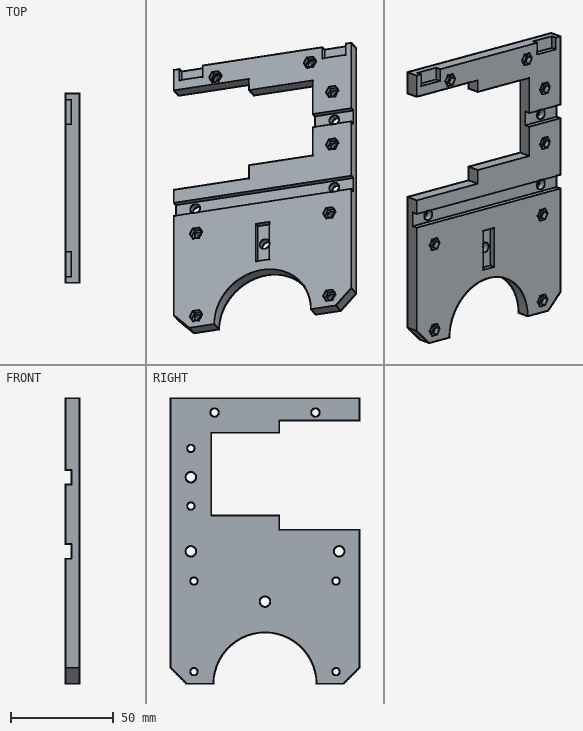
import cadquery as cq
import math

THICKNESS = 7.0
WIDTH = 92.0
HEIGHT = 138.84
HALF_WIDTH = WIDTH / 2
CORNER_CHAMFER = 8.0
ARCH_RADIUS = 25.0

WINDOW_STEP_Y = 7.0
WINDOW_INNER_Y = -26.0
WINDOW_INNER_HEIGHT = 40.0
WINDOW_LOWER_STEP = 7.0
WINDOW_INNER_BOTTOM = 81.92
WINDOW_INNER_TOP = WINDOW_INNER_BOTTOM + WINDOW_INNER_HEIGHT
WINDOW_OUTER_BOTTOM = WINDOW_INNER_BOTTOM - WINDOW_LOWER_STEP
WINDOW_UPPER_STEP = 6.0
WINDOW_OUTER_TOP = WINDOW_INNER_TOP + WINDOW_UPPER_STEP

RECESS_DEPTH = 3.0
GROOVE_WIDTH = 7.0
GROOVE_SPACING = 36.0
WALL_ABOVE_LOWER_GROOVE = 7.0
LOWER_GROOVE_Z = WINDOW_OUTER_BOTTOM - WALL_ABOVE_LOWER_GROOVE - GROOVE_WIDTH / 2
UPPER_GROOVE_Z = LOWER_GROOVE_Z + GROOVE_SPACING
SLOT_LENGTH = 20.0
SLOT_Z = 40.0
TOP_POCKET_WIDTH = 12.0
TOP_POCKET_HEIGHT = 6.0
TOP_POCKET_MARGIN = 3.0

BOLT_DIAMETER = 5.0
BOLT_Y = 36.0

SCREW_DIAMETER = 3.5
TOP_SCREW_DIAMETER = 4.0
NUT_ACROSS_FLATS = 5.5
NUT_ACROSS_CORNERS = NUT_ACROSS_FLATS / math.cos(math.pi / 6)
NUT_DEPTH = 3.0
TOP_SCREW_Y = 24.5
TOP_SCREW_Z = HEIGHT - 7.0
SIDE_SCREW_OFFSET = 14.0
BASE_SCREW_Y = 34.5
BASE_SCREW_LOW_Z = 6.0
BASE_SCREW_SPACING = 44.0


def make_plate():
    """Plate outline with chamfered lower corners, bottom arch and side window."""
    return (
        cq.Workplane("YZ")
        .moveTo(-ARCH_RADIUS, 0)
        .threePointArc((0, ARCH_RADIUS), (ARCH_RADIUS, 0))
        .lineTo(HALF_WIDTH - CORNER_CHAMFER, 0)
        .lineTo(HALF_WIDTH, CORNER_CHAMFER)
        .lineTo(HALF_WIDTH, WINDOW_OUTER_BOTTOM)
        .lineTo(WINDOW_STEP_Y, WINDOW_OUTER_BOTTOM)
        .lineTo(WINDOW_STEP_Y, WINDOW_INNER_BOTTOM)
        .lineTo(WINDOW_INNER_Y, WINDOW_INNER_BOTTOM)
        .lineTo(WINDOW_INNER_Y, WINDOW_INNER_TOP)
        .lineTo(WINDOW_STEP_Y, WINDOW_INNER_TOP)
        .lineTo(WINDOW_STEP_Y, WINDOW_OUTER_TOP)
        .lineTo(HALF_WIDTH, WINDOW_OUTER_TOP)
        .lineTo(HALF_WIDTH, HEIGHT)
        .lineTo(-HALF_WIDTH, HEIGHT)
        .lineTo(-HALF_WIDTH, CORNER_CHAMFER)
        .lineTo(-HALF_WIDTH + CORNER_CHAMFER, 0)
        .close()
        .extrude(THICKNESS)
    )


def face_recess(y, z, width, height):
    """Rectangular cutter centred at (y, z), sunk into the X = 0 face."""
    return cq.Workplane("YZ").center(y, z).rect(width, height).extrude(RECESS_DEPTH)


def through_hole(y, z, diameter):
    """Cylindrical cutter through the whole thickness."""
    return cq.Workplane("YZ").center(y, z).circle(diameter / 2).extrude(THICKNESS)


def nut_hole(y, z, diameter):
    """Through hole with a hexagonal nut pocket in the X = 0 face."""
    pocket = cq.Workplane("YZ").center(y, z).polygon(6, NUT_ACROSS_CORNERS).extrude(NUT_DEPTH)
    return through_hole(y, z, diameter).union(pocket)


def cut_recesses(plate):
    """Cut the two grooves, the central slot and the two pockets in the top edge."""
    for groove_z in (LOWER_GROOVE_Z, UPPER_GROOVE_Z):
        plate = plate.cut(face_recess(0, groove_z, WIDTH, GROOVE_WIDTH))
    plate = plate.cut(face_recess(0, SLOT_Z, GROOVE_WIDTH, SLOT_LENGTH))
    pocket_y = HALF_WIDTH - TOP_POCKET_MARGIN - TOP_POCKET_WIDTH / 2
    pocket_z = HEIGHT - TOP_POCKET_HEIGHT / 2
    for side in (-1, 1):
        plate = plate.cut(face_recess(side * pocket_y, pocket_z, TOP_POCKET_WIDTH, TOP_POCKET_HEIGHT))
    return plate


def cut_bolt_holes(plate):
    """Drill the plain holes on the groove and slot centre lines."""
    centres = [
        (0, SLOT_Z),
        (-BOLT_Y, LOWER_GROOVE_Z),
        (BOLT_Y, LOWER_GROOVE_Z),
        (-BOLT_Y, UPPER_GROOVE_Z),
    ]
    for y, z in centres:
        plate = plate.cut(through_hole(y, z, BOLT_DIAMETER))
    return plate


def cut_nut_holes(plate):
    """Cut the screw holes with nut pockets on the top arm, beside the window and on the base."""
    for side in (-1, 1):
        plate = plate.cut(nut_hole(side * TOP_SCREW_Y, TOP_SCREW_Z, TOP_SCREW_DIAMETER))
        side_z = UPPER_GROOVE_Z + side * SIDE_SCREW_OFFSET
        plate = plate.cut(nut_hole(-BOLT_Y, side_z, SCREW_DIAMETER))
        for z in (BASE_SCREW_LOW_Z, BASE_SCREW_LOW_Z + BASE_SCREW_SPACING):
            plate = plate.cut(nut_hole(side * BASE_SCREW_Y, z, SCREW_DIAMETER))
    return plate


result = cut_nut_holes(cut_bolt_holes(cut_recesses(make_plate())))